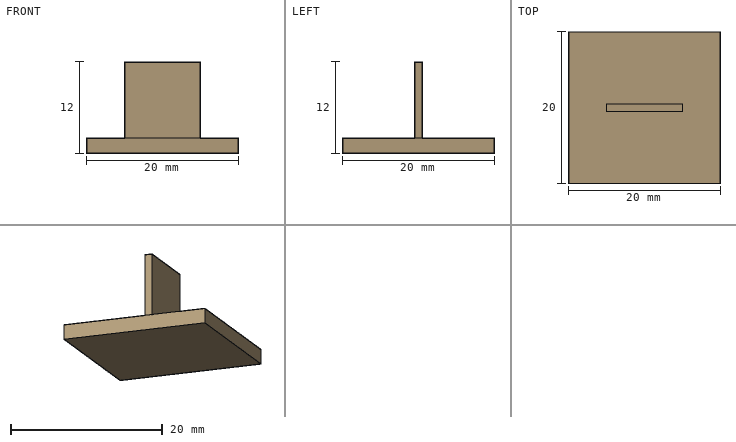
import cadquery as cq

base_side = 20.0
base_thickness = 2.0

tab_side = 10.0
tab_thickness = 1.0


def make_base():
    """Flat square plate resting on the XY plane."""
    return cq.Workplane("XY").box(base_side, base_side, base_thickness, centered=(True, True, False))


def add_tab(base):
    """Thin tab standing on the top face, with its broad faces toward Y."""
    tab = (
        cq.Workplane("XY")
        .workplane(offset=base_thickness)
        .box(tab_side, tab_thickness, tab_side, centered=(True, True, False))
    )
    return base.union(tab)


result = add_tab(make_base())